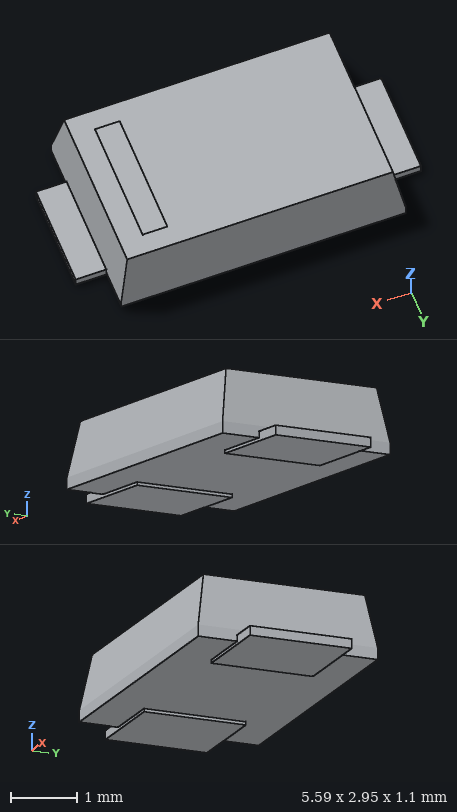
import cadquery as cq

body_length = 4.6
body_width = 2.95
package_height = 1.1
standoff = 0.05
rim_height = 0.185
side_inset = 0.15

overall_length = 5.59
lead_length = 1.5
lead_width = 1.67
lead_thickness = 0.15

band_length = 0.4
band_width = 2.0
band_depth = 0.02
band_center_x = 1.575

rim_top = standoff + rim_height


def box_on(base_z, length, width, height, center_x=0):
    """Box standing on height base_z, centred on Y = 0."""
    return (
        cq.Workplane("XY")
        .box(length, width, height, centered=(True, True, False))
        .translate((center_x, 0, base_z))
    )


def make_lead(side):
    """Flat lead at the +X (side = 1) or -X (side = -1) end."""
    center_x = side * (overall_length - lead_length) / 2
    return box_on(0, lead_length, lead_width, lead_thickness, center_x)


def make_polarity_band():
    return box_on(package_height - band_depth, band_length, band_width, band_depth, band_center_x)


def make_housing(inserts):
    """Straight rim with a tapered block on it, recessed to seat the inserts."""
    rim = box_on(standoff, body_length, body_width, rim_height)
    tapered_block = (
        cq.Workplane("XY", origin=(0, 0, rim_top))
        .rect(body_length, body_width)
        .workplane(offset=package_height - rim_top)
        .rect(body_length - 2 * side_inset, body_width - 2 * side_inset)
        .loft(ruled=True)
    )
    housing = rim.union(tapered_block)
    for insert in inserts:
        housing = housing.cut(insert)
    return housing


leads = [make_lead(side) for side in (-1, 1)]
polarity_band = make_polarity_band()
housing = make_housing([*leads, polarity_band])

result = cq.Compound.makeCompound(
    [housing.val(), *[lead.val() for lead in leads], polarity_band.val()]
)